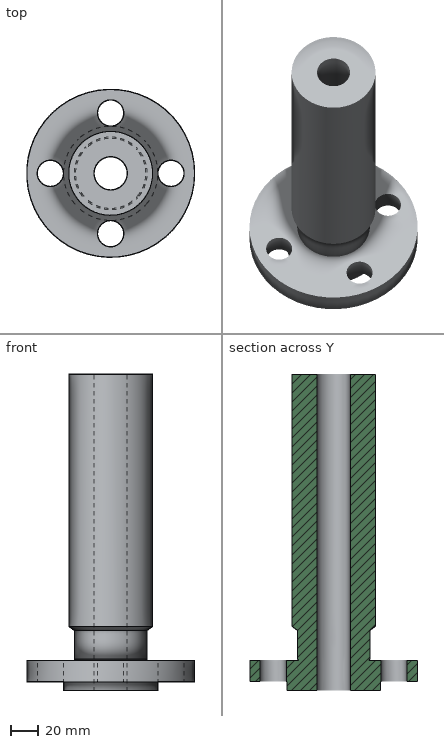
import cadquery as cq

total_height = 233.4
flange_diameter = 124.0
flange_thickness = 15.9
raised_face_diameter = 69.5
raised_face_height = 6.5
barrel_diameter = 61.8
barrel_bottom_z = 47.4
neck_diameter = 53.7
neck_top_z = 44.3
neck_foot_chamfer = 1.0
bore_diameter = 24.3
bolt_circle_diameter = 89.0
bolt_hole_diameter = 19.1
bolt_hole_count = 4

flange_top_z = raised_face_height + flange_thickness


def make_flange():
    """Round flange plate with the raised sealing face beneath it."""
    raised_face = cq.Workplane("XY").circle(raised_face_diameter / 2).extrude(raised_face_height)
    plate = (
        cq.Workplane("XY", origin=(0, 0, raised_face_height))
        .circle(flange_diameter / 2)
        .extrude(flange_thickness)
    )
    return raised_face.union(plate)


def make_stem():
    """Revolved stem: chamfered neck, conical shoulder and long barrel."""
    neck_radius = neck_diameter / 2
    barrel_radius = barrel_diameter / 2
    profile = (
        cq.Workplane("XZ")
        .moveTo(0, flange_top_z)
        .lineTo(neck_radius - neck_foot_chamfer, flange_top_z)
        .lineTo(neck_radius, flange_top_z + neck_foot_chamfer)
        .lineTo(neck_radius, neck_top_z)
        .lineTo(barrel_radius, barrel_bottom_z)
        .lineTo(barrel_radius, total_height)
        .lineTo(0, total_height)
        .close()
    )
    return profile.revolve(360, (0, 0, 0), (0, 1, 0))


def make_bore():
    """Cutter for the central bore through the full height."""
    return cq.Workplane("XY").circle(bore_diameter / 2).extrude(total_height)


def make_bolt_holes():
    """Cutters for the bolt holes, evenly spaced and lying on the X and Y axes."""
    return (
        cq.Workplane("XY")
        .polarArray(bolt_circle_diameter / 2, 0, 360, bolt_hole_count)
        .circle(bolt_hole_diameter / 2)
        .extrude(flange_top_z)
    )


result = make_flange().union(make_stem()).cut(make_bore()).cut(make_bolt_holes())